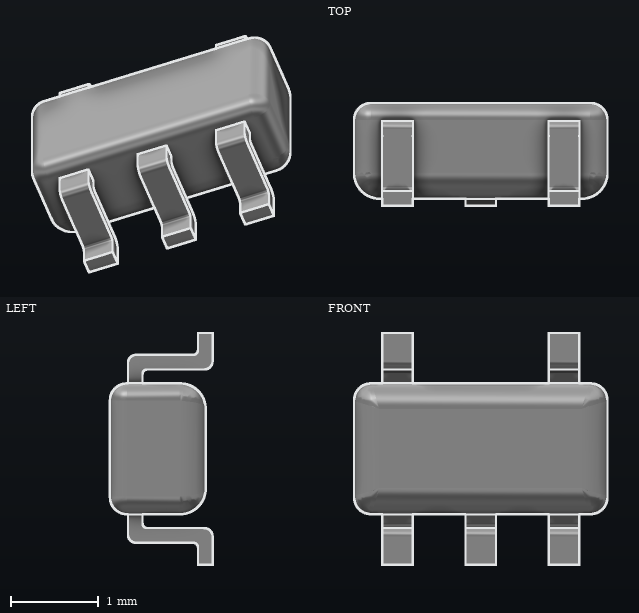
import cadquery as cq

HOUSING_LENGTH = 2.9
HOUSING_DEPTH = 1.1
HOUSING_HEIGHT = 1.5
MOUNT_EDGE_RADIUS = 0.3
EDGE_RADIUS = 0.2

LEAD_WIDTH = 0.35
LEAD_THICKNESS = 0.17
LEAD_PITCH = 0.95
LEAD_SPAN = 2.65
FOOT_LENGTH = 0.42
STANDOFF = 0.078
ROOT_INSET = 0.205
OUTER_BEND_RADIUS = 0.1
INNER_BEND_RADIUS = 0.05

MOUNT_Y = -HOUSING_DEPTH / 2
SIDE_Z = HOUSING_HEIGHT / 2

ROOT_BACK_Y = HOUSING_DEPTH / 2 - ROOT_INSET
ROOT_FRONT_Y = ROOT_BACK_Y - LEAD_THICKNESS
FOOT_FRONT_Y = MOUNT_Y - STANDOFF
FOOT_BACK_Y = FOOT_FRONT_Y + LEAD_THICKNESS
TIP_Z = LEAD_SPAN / 2
ARM_INNER_Z = TIP_Z - FOOT_LENGTH
ARM_OUTER_Z = ARM_INNER_Z + LEAD_THICKNESS

UPPER_LEAD_XS = [-LEAD_PITCH, LEAD_PITCH]
LOWER_LEAD_XS = [-LEAD_PITCH, 0, LEAD_PITCH]


def make_housing():
    """Block with a wide round at the mounting face and smaller rounds elsewhere."""
    block = cq.Workplane("XY").box(HOUSING_LENGTH, HOUSING_DEPTH, HOUSING_HEIGHT)
    block = block.faces("<Y").edges().fillet(MOUNT_EDGE_RADIUS)
    block = block.edges("|Y").fillet(EDGE_RADIUS)
    return block.faces(">Y").edges().fillet(EDGE_RADIUS)


def round_bend(lead, y, z, radius):
    """Round the edge along X that passes through (y, z)."""
    edge_finder = cq.NearestToPointSelector((0, y, z))
    return lead.edges("|X").edges(edge_finder).fillet(radius)


def make_upper_lead():
    """Z-shaped lead at X = 0: root on the housing's +Z side, arm toward -Y, foot up to the tip."""
    outline = [
        (ROOT_BACK_Y, SIDE_Z),
        (ROOT_BACK_Y, ARM_OUTER_Z),
        (FOOT_BACK_Y, ARM_OUTER_Z),
        (FOOT_BACK_Y, TIP_Z),
        (FOOT_FRONT_Y, TIP_Z),
        (FOOT_FRONT_Y, ARM_INNER_Z),
        (ROOT_FRONT_Y, ARM_INNER_Z),
        (ROOT_FRONT_Y, SIDE_Z),
    ]
    lead = cq.Workplane("YZ").polyline(outline).close().extrude(LEAD_WIDTH / 2, both=True)
    lead = round_bend(lead, ROOT_BACK_Y, ARM_OUTER_Z, OUTER_BEND_RADIUS)
    lead = round_bend(lead, ROOT_FRONT_Y, ARM_INNER_Z, INNER_BEND_RADIUS)
    lead = round_bend(lead, FOOT_FRONT_Y, ARM_INNER_Z, OUTER_BEND_RADIUS)
    return round_bend(lead, FOOT_BACK_Y, ARM_OUTER_Z, INNER_BEND_RADIUS)


def make_leads():
    """Two leads on the +Z side and three mirrored ones on the -Z side."""
    upper_lead = make_upper_lead()
    lower_lead = upper_lead.mirror("XY")
    leads = []
    for x in UPPER_LEAD_XS:
        leads.append(upper_lead.translate((x, 0, 0)).val())
    for x in LOWER_LEAD_XS:
        leads.append(lower_lead.translate((x, 0, 0)).val())
    return leads


housing = make_housing()
leads = make_leads()

result = cq.Compound.makeCompound([housing.val(), *leads])